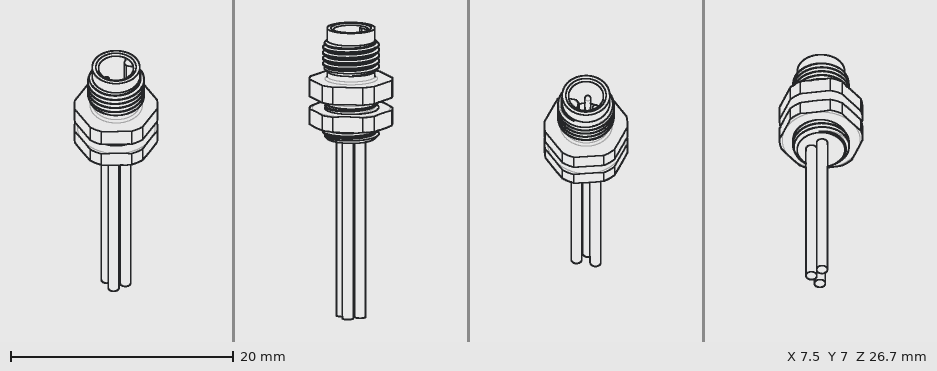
import cadquery as cq
import math


tip_top = 26.7
upper_thread_top = 25.55
upper_thread_bottom = 22.72
flange_top = 22.03
flange_bottom = 20.43
lower_thread_top = 19.7
nut_top = 19.3
nut_bottom = 17.8
body_bottom = 16.53

body_diameter = 4.3
body_radius = body_diameter / 2
neck_flare = 0.21

thread_radius = 2.54
thread_pitch = 0.5
thread_depth = 0.3
thread_half_angle = 30.0
crest_width = 0.08
upper_thread_phase_z = 23.82
lower_thread_phase_z = 17.55
seat_depth = 0.03
core_overrun = 4 * thread_pitch
root_radius = thread_radius - thread_depth
envelope_radius = thread_radius + 0.05

hex_across_flats = 7.0
hex_across_corners = 7.5
nut_bevel_width = 0.25
nut_bevel_height = 0.05

seal_section_radius = (flange_bottom - lower_thread_top) / 2
seal_outer_radius = 2.54

socket_mouth_radius = 1.82
socket_top_radius = 1.58
socket_floor_radius = 1.5
mouth_chamfer_depth = 0.13
socket_depth = 3.47
socket_floor = tip_top - socket_depth
key_top = tip_top - mouth_chamfer_depth
key_tip_y = 0.95
key_tip_half_width = 0.2

contact_offset = 0.61
contact_places = [
    (-contact_offset, -contact_offset),
    (contact_offset, -contact_offset),
    (contact_offset, contact_offset),
]
pin_radius = 0.254
pin_tip = tip_top - 1.5
wire_diameter = 1.0


def cylinder(radius, bottom, top):
    return cq.Workplane("XY").workplane(offset=bottom).circle(radius).extrude(top - bottom)


def thread_ridge(bottom, top, phase_z):
    """Right-handed helical ridge whose crest crosses the -X side at phase_z."""
    seat_radius = root_radius - seat_depth
    seat_width = crest_width + 2 * (thread_radius - seat_radius) * math.tan(math.radians(thread_half_angle))
    turns_below = math.ceil((phase_z - bottom) / thread_pitch) + 0.5
    start_z = phase_z - turns_below * thread_pitch
    turns = math.ceil((top - start_z) / thread_pitch) + 1
    helix = cq.Wire.makeHelix(thread_pitch, turns * thread_pitch, seat_radius)
    profile = (
        cq.Workplane("XZ")
        .polyline([
            (seat_radius, -seat_width / 2),
            (thread_radius, -crest_width / 2),
            (thread_radius, crest_width / 2),
            (seat_radius, seat_width / 2),
        ])
        .close()
    )
    ridge = profile.sweep(cq.Workplane(obj=helix), isFrenet=True)
    return ridge.translate((0, 0, start_z))


def threaded_stud(bottom, top, phase_z):
    """Threaded length with 45 degree lead-ins at both ends."""
    lead_in = envelope_radius - body_radius
    envelope = cylinder(envelope_radius, bottom, top).faces("<Z or >Z").chamfer(lead_in)
    core = cylinder(root_radius, bottom - core_overrun, top + core_overrun)
    return core.union(thread_ridge(bottom, top, phase_z)).intersect(envelope)


def hexagon(bottom, top):
    """Hexagon with its corners turned down to the across-corners diameter."""
    half_side_angle = math.radians(180 / 6)
    full_corners = hex_across_flats / math.cos(half_side_angle)
    prism = cq.Workplane("XY").workplane(offset=bottom).polygon(6, full_corners).extrude(top - bottom)
    return prism.intersect(cylinder(hex_across_corners / 2, bottom, top))


def lock_nut():
    """Hexagon with shallow conical bevels across the corners of both faces."""
    turned = (
        cylinder(hex_across_corners / 2, nut_bottom, nut_top)
        .faces("<Z or >Z")
        .chamfer(nut_bevel_height, nut_bevel_width)
    )
    return hexagon(nut_bottom, nut_top).intersect(turned)


def plain_body():
    """Core cylinder with the concave flare where the neck meets the flange."""
    flare = (
        cq.Workplane("XZ")
        .moveTo(0, flange_top)
        .lineTo(body_radius + neck_flare, flange_top)
        .radiusArc((body_radius, flange_top + neck_flare), neck_flare)
        .lineTo(0, flange_top + neck_flare)
        .close()
        .revolve(360, (0, 0, 0), (0, 1, 0))
    )
    return cylinder(body_radius, body_bottom, tip_top).union(flare)


def seal_ring():
    centre_radius = seal_outer_radius - seal_section_radius
    centre_z = flange_bottom - seal_section_radius
    return (
        cq.Workplane("XZ")
        .center(centre_radius, centre_z)
        .circle(seal_section_radius)
        .revolve(360, (-centre_radius, 0, 0), (-centre_radius, 1, 0))
    )


def socket():
    return (
        cq.Workplane("XZ")
        .polyline([
            (0, tip_top),
            (socket_mouth_radius, tip_top),
            (socket_top_radius, key_top),
            (socket_floor_radius, socket_floor),
            (0, socket_floor),
        ])
        .close()
        .revolve(360, (0, 0, 0), (0, 1, 0))
    )


def key():
    """Coding rib on the +Y wall of the socket, with 45 degree flanks."""
    root_y = socket_top_radius
    root_half_width = key_tip_half_width + root_y - key_tip_y
    return (
        cq.Workplane("XY")
        .workplane(offset=socket_floor)
        .polyline([
            (-root_half_width, root_y),
            (-key_tip_half_width, key_tip_y),
            (key_tip_half_width, key_tip_y),
            (root_half_width, root_y),
        ])
        .close()
        .extrude(key_top - socket_floor)
    )


def pins():
    shoulder = pin_tip - pin_radius
    pin = cylinder(pin_radius, socket_floor, shoulder).union(
        cq.Workplane("XY").sphere(pin_radius).translate((0, 0, shoulder))
    )
    group = cq.Workplane("XY")
    for x, y in contact_places:
        group = group.union(pin.translate((x, y, 0)))
    return group


result = (
    plain_body()
    .union(threaded_stud(upper_thread_bottom, upper_thread_top, upper_thread_phase_z))
    .union(threaded_stud(body_bottom, lower_thread_top, lower_thread_phase_z))
    .union(hexagon(flange_bottom, flange_top))
    .union(lock_nut())
    .union(seal_ring())
    .cut(socket())
    .union(key())
)

result = result.union(pins())
for x, y in contact_places:
    result = result.union(cylinder(wire_diameter / 2, 0, body_bottom).translate((x, y, 0)))